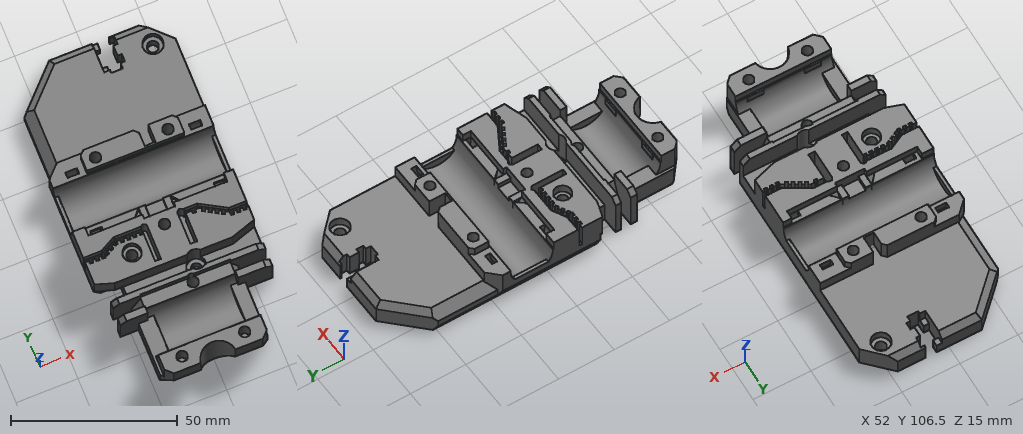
import cadquery as cq
import math

LENGTH = 106.5
WIDTH = 52.0
HEIGHT = 15.0
REACH = 2 * LENGTH

SHELF_Z = 7.0
LEDGE_Z = 12.1

PLATE_LEFT = 1.1
PLATE_TOP = 8.0
PLATE_LEFT_CORNER = 13.4
PLATE_RIGHT_CORNER = 8.4
PLATE_BEVEL = 2.1
PLATE_SIDE_BEVEL = 3.3

BLOCK_BACK = 74.5
BLOCK_CORNER = 4.0
BLOCK_FRONT = 32.7
PAD_CORNER = 1.4
BASE_FRONT = 35.3
UNDERCUT_WIDTH = 2.2
UNDERCUT_HEIGHT = 4.5

CHANNEL_RADIUS = 7.6
CHANNEL_Z = 11.6
WALL_SETBACK = 0.3
REAR_CHANNEL_Y = 60.1
FRONT_CHANNEL_Y = 15.0

NECK_LEFT = 8.5
NECK_RIGHT = 43.0
FIN_LEFT = 2.7
FIN_BEVEL = 2.0
REAR_FIN_FRONT = 26.1
REAR_FIN_BACK = 28.1
FRONT_FIN_FRONT = 20.3
FRONT_FIN_BACK = 22.7
FRONT_FIN_RIGHT = 51.9
BRIDGE_LEFT = 11.5
BRIDGE_RIGHT = 40.7
BRIDGE_BACK = 26.5

SCREW_DIAMETER = 3.4
PLATE_SCREW_DIAMETER = 3.6
HEAD_DEPTH = 3.0
TILT = 6.0
NOSE_NOTCH_DIAMETER = 11.4

BELT_OPENING = 1.5
BELT_BEVEL = 0.5
BELT_BEVEL_DEPTH = 1.1
TOOTH_PITCH = 2.0
TOOTH_WIDTH = 1.01
TOOTH_DEPTH = 0.9


def box(x0, x1, y0, y1, z0, z1):
    return cq.Workplane("XY").box(x1 - x0, y1 - y0, z1 - z0, centered=False).translate((x0, y0, z0))


def prism(points, z0, z1):
    return cq.Workplane("XY").workplane(offset=z0).polyline(points).close().extrude(z1 - z0)


def prism_along_x(yz_points, x0, x1):
    return cq.Workplane("YZ").workplane(offset=x0).polyline(yz_points).close().extrude(x1 - x0)


def prism_along_y(xz_points, y0, y1):
    return cq.Workplane("XZ").workplane(offset=-y0).polyline(xz_points).close().extrude(y0 - y1)


def cylinder(x, y, diameter, z0, z1):
    return cq.Workplane("XY").workplane(offset=z0).center(x, y).circle(diameter / 2).extrude(z1 - z0)


def channel(y, radius, x0, x1):
    """Half-round trough along X with upright walls above its axis."""
    trough = cq.Workplane("YZ").workplane(offset=x0).center(y, CHANNEL_Z).circle(radius).extrude(x1 - x0)
    return trough.union(box(x0, x1, y - radius, y + radius, CHANNEL_Z, HEIGHT))


def edge_bevel(start, angle, length, size, top):
    """45 degree cutter along a top edge; the material lies to the right of the direction of travel."""
    profile = [(-size, top), (size, top + 2 * size), (size, top - 2 * size)]
    cutter = prism_along_x(profile, 0, length)
    return cutter.rotate((0, 0, 0), (0, 0, 1), angle).translate((start[0], start[1], 0))


def rear_plate():
    left_knee = LENGTH - PLATE_LEFT_CORNER
    outline = [
        (PLATE_LEFT, BASE_FRONT),
        (PLATE_LEFT, left_knee),
        (PLATE_LEFT + PLATE_LEFT_CORNER, LENGTH),
        (WIDTH - PLATE_RIGHT_CORNER, LENGTH),
        (WIDTH, LENGTH - PLATE_RIGHT_CORNER),
        (WIDTH, BASE_FRONT),
    ]
    plate = prism(outline, 0, PLATE_TOP)
    plate = plate.cut(edge_bevel((PLATE_LEFT, 0), 90, LENGTH, PLATE_SIDE_BEVEL, PLATE_TOP))
    plate = plate.cut(edge_bevel((PLATE_LEFT - WIDTH, left_knee - WIDTH), 45, REACH, PLATE_BEVEL, PLATE_TOP))
    return plate.cut(edge_bevel((0, LENGTH), 0, WIDTH, PLATE_BEVEL, PLATE_TOP))


def plate_notch():
    """Slot in the rear edge, with two low ledges on its left and two pockets on its right."""
    ledge_top = 3.9
    left, middle, right, far_right = 28.2, 30.1, 33.9, 35.3
    end, left_end = 95.4, 96.4
    gap_front, gap_back = 98.7, 104.4
    pockets = [(97.2, 99.7), (103.1, 105.9)]
    cutter = box(middle, right, end, LENGTH, 0, HEIGHT)
    cutter = cutter.union(box(left, middle, left_end, LENGTH, ledge_top, HEIGHT))
    cutter = cutter.union(box(left, middle, gap_front, gap_back, 0, HEIGHT))
    for y0, y1 in pockets:
        cutter = cutter.union(box(right, far_right, y0, y1, 0, HEIGHT))
    return cutter


def carriage_block():
    base = prism(
        [(0, BASE_FRONT), (0, BLOCK_BACK - BLOCK_CORNER), (BLOCK_CORNER, BLOCK_BACK),
         (WIDTH, BLOCK_BACK), (WIDTH, BASE_FRONT)], 0, LEDGE_Z)
    side_front_left = 34.6
    front_taper_left, front_taper_right = 5.8, 43.9
    upper = prism(
        [(0, side_front_left), (0, REAR_CHANNEL_Y), (WIDTH, REAR_CHANNEL_Y), (WIDTH, BASE_FRONT),
         (front_taper_right, BLOCK_FRONT), (front_taper_left, BLOCK_FRONT)], SHELF_Z, HEIGHT)
    return base.union(upper).union(clamp_pad())


def clamp_pad():
    """Raised pad behind the rear channel."""
    left, right, front = 11.2, 42.7, 68.2
    corner = PAD_CORNER
    return prism(
        [(left, front), (left, BLOCK_BACK - corner), (left + corner, BLOCK_BACK),
         (right - corner, BLOCK_BACK), (right, BLOCK_BACK - corner), (right, front)], LEDGE_Z, HEIGHT)


def cable_notch():
    """Notch through the pad, flared on one side and filleted at the foot of its front wall."""
    left, right, front = 30.1, 33.7, 68.8
    fillet = 0.6
    notch = prism(
        [(left, front), (left, BLOCK_BACK - PAD_CORNER), (left - PAD_CORNER, BLOCK_BACK),
         (right, BLOCK_BACK), (right, front)], PLATE_TOP, HEIGHT)
    return notch.faces("<Y").edges("<Z").fillet(fillet)


def rear_channel():
    """Channel with shallow end flats, a set-back front wall and its lowered land."""
    end_wall = 1.2
    y = REAR_CHANNEL_Y
    front_edge = y - CHANNEL_RADIUS - WALL_SETBACK
    ends = channel(y, CHANNEL_RADIUS, 0, WIDTH).intersect(box(0, WIDTH, 0, LENGTH, SHELF_Z, HEIGHT))
    cutter = ends.union(channel(y, CHANNEL_RADIUS, end_wall, WIDTH - end_wall))
    cutter = cutter.union(box(0, WIDTH, front_edge, y, LEDGE_Z, HEIGHT))
    return cutter.union(land_recess())


def land_recess():
    """Lowered land in front of the rear channel, with a deeper centre pocket and flared ramps."""
    land_front, pocket_front = 49.3, 48.0
    land_left, land_right = 4.0, 49.0
    pocket_left, pocket_right = 21.5, 31.6
    core_left, core_right, core_z = 23.6, 29.4, 10.5
    flare = 2.8
    back = REAR_CHANNEL_Y - CHANNEL_RADIUS
    cutter = box(land_left, land_right, land_front, REAR_CHANNEL_Y, LEDGE_Z, HEIGHT)
    cutter = cutter.union(box(pocket_left, pocket_right, pocket_front, REAR_CHANNEL_Y, LEDGE_Z, HEIGHT))
    cutter = cutter.union(box(core_left, core_right, pocket_front, REAR_CHANNEL_Y, core_z, HEIGHT))
    drop = back - land_front
    ramp = prism_along_x([(land_front, LEDGE_Z), (back, LEDGE_Z), (back, LEDGE_Z - drop)], 0, WIDTH)
    for x, side in [(pocket_left, -1), (pocket_right, 1)]:
        triangle = prism([(x, land_front), (x, back), (x + side * flare, land_front)], 0, HEIGHT)
        cutter = cutter.union(ramp.intersect(triangle))
    return cutter


def tie_loops():
    """Ring-shaped passages for cable ties around the rear bearing."""
    inner, outer = 8.9, 10.8
    loops = cq.Workplane("XY")
    spans = [(5.3, 9.0), (45.3, 48.9)]
    for x0, x1 in spans:
        ring = (cq.Workplane("YZ").workplane(offset=x0).center(REAR_CHANNEL_Y, CHANNEL_Z)
                .circle(outer).circle(inner).extrude(x1 - x0))
        loops = loops.add(ring.intersect(box(x0, x1, 0, LENGTH, 0, LEDGE_Z)))
    return loops


def neck():
    """Front base with its clamp post, left open between the fins for the bridge."""
    left_corner, right_corner = 3.2, 2.6
    slope_run = 3.8
    outline = [
        (NECK_LEFT, BASE_FRONT), (NECK_LEFT, left_corner), (NECK_LEFT + left_corner, 0),
        (NECK_RIGHT - right_corner, 0), (NECK_RIGHT, right_corner), (NECK_RIGHT, REAR_FIN_FRONT),
        (WIDTH, REAR_FIN_FRONT), (WIDTH, BASE_FRONT)]
    base = prism(outline, 0, SHELF_Z)
    post_left, post_right = 9.5, 42.6
    post = prism(outline, SHELF_Z, HEIGHT).intersect(
        box(post_left, post_right, 0, FRONT_CHANNEL_Y, SHELF_Z, HEIGHT))
    back_edge = FRONT_CHANNEL_Y - CHANNEL_RADIUS - WALL_SETBACK
    post = post.cut(channel(FRONT_CHANNEL_Y, CHANNEL_RADIUS, 0, WIDTH))
    post = post.cut(box(0, WIDTH, back_edge, FRONT_CHANNEL_Y, LEDGE_Z, HEIGHT))
    slope = prism_along_x([(0, SHELF_Z), (0, 0), (slope_run, 0)], 0, WIDTH)
    gap = box(0, WIDTH, FRONT_FIN_BACK, REAR_FIN_FRONT, 0, HEIGHT)
    return base.union(post).cut(slope).cut(gap)


def fin(y0, y1, right):
    bevel_right = 49.6
    points = [
        (FIN_LEFT, 0), (FIN_LEFT, HEIGHT - FIN_BEVEL), (FIN_LEFT + FIN_BEVEL, HEIGHT),
        (bevel_right, HEIGHT), (right, HEIGHT - (right - bevel_right)), (right, 0)]
    return prism_along_y(points, y0, y1)


def bridge():
    """Land between the fins, with sloping flanks."""
    left_foot, right_foot = 4.2, 6.0
    points = [
        (NECK_LEFT, 0), (NECK_LEFT, left_foot), (BRIDGE_LEFT, LEDGE_Z),
        (BRIDGE_RIGHT, LEDGE_Z), (NECK_RIGHT, right_foot), (NECK_RIGHT, 0)]
    return prism_along_y(points, FRONT_FIN_FRONT, REAR_FIN_FRONT)


def front_channel():
    deep_left, deep_right = 13.7, 38.5
    y = FRONT_CHANNEL_Y
    over_shelf = channel(y, CHANNEL_RADIUS, BRIDGE_LEFT, BRIDGE_RIGHT).intersect(
        box(0, WIDTH, 0, LENGTH, SHELF_Z, HEIGHT))
    cutter = over_shelf.union(channel(y, CHANNEL_RADIUS, deep_left, deep_right))
    return cutter.union(box(BRIDGE_LEFT, BRIDGE_RIGHT, y, BRIDGE_BACK, LEDGE_Z, HEIGHT))


def retaining_lips():
    """Two small lips on the front wall of the front channel."""
    lip_bottom, lip_depth = 9.6, 0.3
    wall = FRONT_CHANNEL_Y - CHANNEL_RADIUS
    lips = cq.Workplane("XY")
    spans = [(13.3, 19.0), (33.1, 38.8)]
    for x0, x1 in spans:
        lips = lips.add(box(x0, x1, wall - lip_depth, wall + lip_depth, lip_bottom, LEDGE_Z))
    return lips


def belt_groove(edge, tooth_runs):
    """Belt slot below a polyline edge, flared at the top, with tooth gaps along its front side."""
    narrow = [(x, y - BELT_BEVEL) for x, y in edge]
    front = [(x, y - BELT_OPENING) for x, y in reversed(edge)]
    groove = prism(narrow + front, SHELF_Z, HEIGHT)
    flare = (cq.Workplane("XY").workplane(offset=HEIGHT - BELT_BEVEL_DEPTH).polyline(narrow + front).close()
             .workplane(offset=BELT_BEVEL_DEPTH).polyline(edge + front).close().loft(ruled=True))
    groove = groove.union(flare)
    for (x0, y0), (x1, y1), (first, count) in zip(edge, edge[1:], tooth_runs):
        angle = math.atan2(y1 - y0, x1 - x0)
        for i in range(count):
            along = first + i * TOOTH_PITCH
            gap = box(-TOOTH_WIDTH / 2, TOOTH_WIDTH / 2, -TOOTH_DEPTH, BELT_BEVEL, SHELF_Z, HEIGHT)
            gap = gap.rotate((0, 0, 0), (0, 0, 1), math.degrees(angle))
            x = x0 + along * math.cos(angle)
            y = y0 - BELT_OPENING + along * math.sin(angle)
            groove = groove.union(gap.translate((x, y, 0)))
    return groove


def belt_slot(x0, x1, y0, y1):
    """Straight slot with a full round at its rear end."""
    radius = (x1 - x0) / 2
    slot = (cq.Workplane("XY").workplane(offset=SHELF_Z).moveTo(x0, y0).lineTo(x0, y1 - radius)
            .threePointArc((x0 + radius, y1), (x1, y1 - radius)).lineTo(x1, y0).close())
    return slot.extrude(HEIGHT - SHELF_Z)


def belt_cutters():
    left_edge = [(0, 43.5), (6.0, 43.5), (10.9, 46.0), (20.2, 46.0)]
    left_teeth = [(1.8, 3), (1.1, 3), (2.0, 4)]
    right_edge = [(32.5, 46.3), (38.0, 46.3), (46.3, 41.5), (WIDTH, 41.5)]
    right_teeth = [(3.7, 1), (1.4, 4), (0.3, 3)]
    left = belt_groove(left_edge, left_teeth).union(belt_slot(19.6, 21.5, 34.5, 46.4))
    right = belt_groove(right_edge, right_teeth).union(belt_slot(31.4, 33.7, 35.5, 46.8))
    return left.union(right)


def screw_holes():
    holes = cq.Workplane("XY")
    clear_holes = [(15.1, 71.0), (38.5, 71.0), (26.5, 44.1)]
    for x, y in clear_holes:
        holes = holes.add(cylinder(x, y, SCREW_DIAMETER, 0, HEIGHT))
    sunk_holes = [
        (45.0, 99.0, PLATE_SCREW_DIAMETER, 6.4, PLATE_TOP),
        (14.2, 39.5, SCREW_DIAMETER, 5.8, HEIGHT),
        (31.3, 30.5, SCREW_DIAMETER, 6.2, SHELF_Z),
    ]
    for x, y, diameter, head, face in sunk_holes:
        holes = holes.add(cylinder(x, y, diameter, 0, HEIGHT))
        holes = holes.add(cylinder(x, y, head, face - HEAD_DEPTH, HEIGHT))
    blind_holes = [(16.0, 4.0), (36.2, 4.0)]
    for x, y in blind_holes:
        holes = holes.add(cylinder(x, y, SCREW_DIAMETER, SHELF_Z, HEIGHT))
    return holes


def tilted_cylinder(x, y, z, diameter):
    """Cylinder through a point, leaning back towards its top."""
    rod = cylinder(0, 0, diameter, -LENGTH / 2, LENGTH / 2)
    return rod.rotate((0, 0, 0), (1, 0, 0), -TILT).translate((x, y, z))


result = rear_plate().union(carriage_block()).union(neck())
result = result.union(fin(REAR_FIN_FRONT, REAR_FIN_BACK, WIDTH))
result = result.union(fin(FRONT_FIN_FRONT, FRONT_FIN_BACK, FRONT_FIN_RIGHT)).union(bridge())

undercut = prism_along_y([(0, UNDERCUT_HEIGHT), (UNDERCUT_WIDTH, 0), (0, 0)], 0, LENGTH)
tilted_screw_hole = tilted_cylinder(28.0, 24.9, LEDGE_Z, SCREW_DIAMETER)
nose_notch = tilted_cylinder(26.0, -1.0, HEIGHT, NOSE_NOTCH_DIAMETER)
cutters = [
    undercut, plate_notch(), cable_notch(), rear_channel(), tie_loops(), front_channel(),
    belt_cutters(), screw_holes(), tilted_screw_hole, nose_notch,
]
for cutter in cutters:
    for solid in cutter.vals():
        result = result.cut(cq.Workplane(solid))
for lip in retaining_lips().vals():
    result = result.union(cq.Workplane(lip))